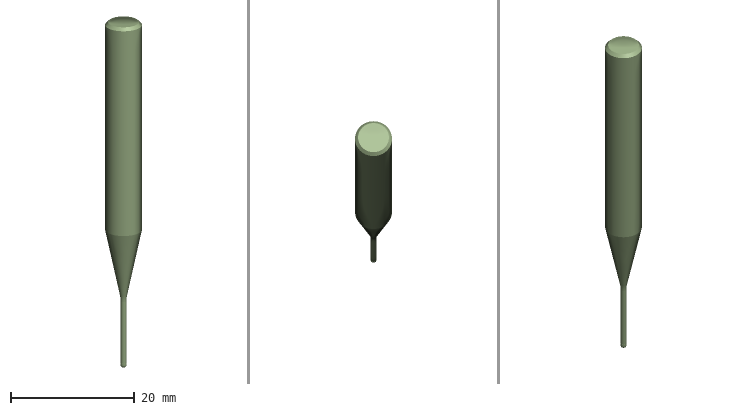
import cadquery as cq
import math

overall_length = 60.0
shank_diameter = 6.0
shank_chamfer = 0.5
shank_start = 23.95

ball_diameter = 1.0
cutting_length = 0.8
neck_diameter = 0.94
neck_end = 11.5
cone_start = 12.55

shank_radius = shank_diameter / 2
ball_radius = ball_diameter / 2
neck_radius = neck_diameter / 2

flare_height = cone_start - neck_end
cone_height = shank_start - cone_start


def taper_rise(angle):
    """Radius gained over the flare and the taper together for a taper half-angle."""
    return flare_height * math.tan(angle / 2) + cone_height * math.tan(angle)


def solve_taper_angle(rise, bisection_steps=60):
    """Taper half-angle that brings the neck up to the shank, found by bisection."""
    low = 0.0
    high = math.pi / 4
    for _ in range(bisection_steps):
        middle = (low + high) / 2
        if taper_rise(middle) < rise:
            low = middle
        else:
            high = middle
    return low


taper_angle = solve_taper_angle(shank_radius - neck_radius)
flare_radius = flare_height / math.sin(taper_angle)


def flare_point(angle):
    """(radius, height) on the flare arc where it has turned by the given angle."""
    return (
        neck_radius + flare_radius * (1 - math.cos(angle)),
        neck_end + flare_radius * math.sin(angle),
    )


def start_profile():
    """Half-section sketch with radius along -Y and height along +Z."""
    return cq.Workplane(cq.Plane(origin=(0, 0, 0), xDir=(0, -1, 0), normal=(-1, 0, 0)))


def revolve_about_z(profile):
    """Turn a closed (radius, height) half section about Z."""
    return profile.close().revolve(360, (0, 0), (0, 1))


def make_cutting_tip():
    """Ball end with its cylindrical land."""
    ball_middle_angle = math.pi / 4
    ball_middle = (
        ball_radius * math.sin(ball_middle_angle),
        ball_radius * (1 - math.cos(ball_middle_angle)),
    )
    profile = (
        start_profile()
        .moveTo(0, 0)
        .threePointArc(ball_middle, (ball_radius, ball_radius))
        .lineTo(ball_radius, cutting_length)
        .lineTo(0, cutting_length)
    )
    return revolve_about_z(profile)


def make_shank():
    """Neck, flare, taper and chamfered shank, resting on the cutting tip."""
    profile = (
        start_profile()
        .moveTo(0, cutting_length)
        .lineTo(neck_radius, cutting_length)
        .lineTo(neck_radius, neck_end)
        .threePointArc(flare_point(taper_angle / 2), flare_point(taper_angle))
        .lineTo(shank_radius, shank_start)
        .lineTo(shank_radius, overall_length - shank_chamfer)
        .lineTo(shank_radius - shank_chamfer, overall_length)
        .lineTo(0, overall_length)
    )
    return revolve_about_z(profile)


cutting_tip = make_cutting_tip()
shank = make_shank()
result = cq.Compound.makeCompound([cutting_tip.val(), shank.val()])